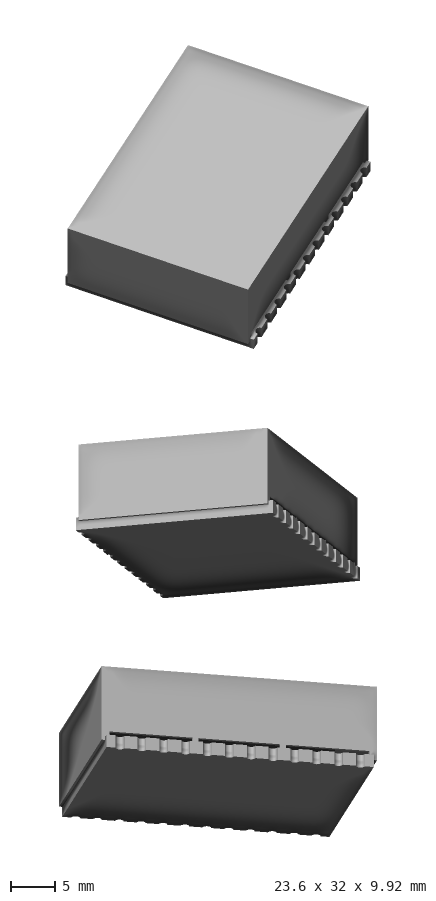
import cadquery as cq

COVER_WIDTH = 22.62
COVER_LENGTH = 32.0
COVER_TOP = 9.92
COVER_WALL = 0.4
COVER_LAP = 0.48

WINDOW_HEIGHT = 0.58
MIDDLE_WINDOW_LENGTH = 9.47
END_WINDOW_LENGTH = 9.7
FOOT_LENGTH = 0.67

BOARD_WIDTH = 23.6
BOARD_THICKNESS = 1.5
END_GAP = 0.05
BOARD_LENGTH = COVER_LENGTH - 2 * (COVER_WALL + END_GAP)

NOTCHES_PER_SIDE = 12
NOTCH_SPAN = 27.95
NOTCH_PITCH = NOTCH_SPAN / (NOTCHES_PER_SIDE - 1)
NOTCH_DIAMETER = 1.0

MARKER_DIAMETER = 1.0
MARKER_INSET = 2.0
MARKER_DEPTH = 0.1


def block(width, length, bottom, top):
    """Box centred on the Z axis between two heights."""
    return cq.Workplane("XY").workplane(offset=bottom).rect(width, length).extrude(top - bottom)


def make_board():
    board = block(BOARD_WIDTH, BOARD_LENGTH, 0, BOARD_THICKNESS)
    first_notch_y = -NOTCH_SPAN / 2
    notch_centres = [
        (side * BOARD_WIDTH / 2, first_notch_y + index * NOTCH_PITCH)
        for side in (-1, 1)
        for index in range(NOTCHES_PER_SIDE)
    ]
    notches = cq.Workplane("XY").pushPoints(notch_centres).circle(NOTCH_DIAMETER / 2).extrude(BOARD_THICKNESS)
    return board.cut(notches)


def make_marker():
    centre_x = -COVER_WIDTH / 2 + MARKER_INSET
    centre_y = COVER_LENGTH / 2 - MARKER_INSET
    floor = cq.Workplane("XY").workplane(offset=COVER_TOP - MARKER_DEPTH)
    return floor.center(centre_x, centre_y).circle(MARKER_DIAMETER / 2).extrude(MARKER_DEPTH)


def cut_windows(cover):
    """Cut the three windows straight through both long side walls."""
    end_window_y = MIDDLE_WINDOW_LENGTH / 2 + FOOT_LENGTH + END_WINDOW_LENGTH / 2
    windows = (
        (-end_window_y, END_WINDOW_LENGTH),
        (0, MIDDLE_WINDOW_LENGTH),
        (end_window_y, END_WINDOW_LENGTH),
    )
    window_top = BOARD_THICKNESS + WINDOW_HEIGHT
    for centre_y, length in windows:
        window = block(COVER_WIDTH, length, BOARD_THICKNESS, window_top)
        cover = cover.cut(window.translate((0, centre_y, 0)))
    return cover


def make_cover(marker):
    cover_bottom = BOARD_THICKNESS - COVER_LAP
    inner_width = COVER_WIDTH - 2 * COVER_WALL
    inner_length = COVER_LENGTH - 2 * COVER_WALL
    cover = block(COVER_WIDTH, COVER_LENGTH, cover_bottom, COVER_TOP)
    cover = cover.cut(block(inner_width, inner_length, cover_bottom, COVER_TOP - COVER_WALL))
    cover = cover.cut(block(COVER_WIDTH, inner_length, cover_bottom, BOARD_THICKNESS))
    return cut_windows(cover).cut(marker)


board = make_board()
marker = make_marker()
cover = make_cover(marker)

result = cq.Compound.makeCompound([board.val(), cover.val(), marker.val()])